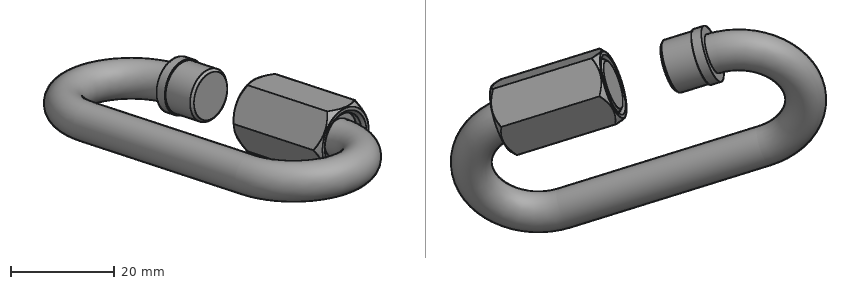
import cadquery as cq
import math

total_length = 76.0
rod_radius = 3.99
bend_radius = 13.0
straight_half_length = total_length / 2 - bend_radius - rod_radius

thread_radius = 5.4
thread_chamfer = 0.5
collar_radius = 5.7
collar_length = 2.1
collar_end_length = 9.0
stud_end_x = -0.15

nut_across_flats = 13.8
nut_start_x = stud_end_x
nut_length = 23.1
nut_face_radius = 6.8
countersink_radius = 6.1

thread_axis_y = bend_radius


def cylinder_along_x(radius, start_x, end_x):
    """Round bar on the thread axis."""
    return (
        cq.Workplane("YZ", origin=(start_x, thread_axis_y, 0))
        .circle(radius)
        .extrude(end_x - start_x)
    )


def cone_along_x(start_radius, end_radius, start_x, end_x):
    """Truncated cone on the thread axis."""
    return (
        cq.Workplane("XY", origin=(0, thread_axis_y, 0))
        .polyline([(start_x, 0), (start_x, start_radius), (end_x, end_radius), (end_x, 0)])
        .close()
        .revolve(360, (0, 0, 0), (1, 0, 0))
    )


def make_rod():
    """Long straight side with a half-circle bend at each end."""
    path = (
        cq.Workplane("XY")
        .moveTo(-straight_half_length, bend_radius)
        .threePointArc(
            (-straight_half_length - bend_radius, 0),
            (-straight_half_length, -bend_radius),
        )
        .lineTo(straight_half_length, -bend_radius)
        .threePointArc(
            (straight_half_length + bend_radius, 0),
            (straight_half_length, bend_radius),
        )
    )
    return (
        cq.Workplane("YZ", origin=(-straight_half_length, bend_radius, 0))
        .circle(rod_radius)
        .sweep(path)
    )


def make_link():
    """Rod with a collared short thread at one end and a long stud at the other."""
    bend_end_x = straight_half_length
    collar_start_x = -straight_half_length
    collar = cylinder_along_x(collar_radius, collar_start_x, collar_start_x + collar_length)
    short_thread = cylinder_along_x(
        thread_radius, collar_start_x, collar_start_x + collar_end_length
    ).faces(">X").chamfer(thread_chamfer)
    stud = cylinder_along_x(thread_radius, stud_end_x, bend_end_x).faces("<X").chamfer(thread_chamfer)
    return make_rod().union(collar).union(short_thread).union(stud)


def make_nut():
    """Hexagonal sleeve, chamfered outside and countersunk inside at both ends."""
    nut_end_x = nut_start_x + nut_length
    corner_radius = nut_across_flats / math.sqrt(3)
    corner_chamfer = corner_radius - nut_face_radius
    countersink_depth = countersink_radius - thread_radius

    nut = (
        cq.Workplane("YZ", origin=(nut_start_x, thread_axis_y, 0))
        .polygon(6, 2 * corner_radius)
        .extrude(nut_length)
    )
    trimming_bar = (
        cylinder_along_x(corner_radius, nut_start_x, nut_end_x).faces("<X or >X").chamfer(corner_chamfer)
    )
    nut = nut.intersect(trimming_bar)
    nut = nut.cut(cylinder_along_x(thread_radius, nut_start_x, nut_end_x))
    nut = nut.cut(
        cone_along_x(countersink_radius, thread_radius, nut_start_x, nut_start_x + countersink_depth)
    )
    return nut.cut(
        cone_along_x(thread_radius, countersink_radius, nut_end_x - countersink_depth, nut_end_x)
    )


link = make_link()
nut = make_nut()
result = cq.Compound.makeCompound([link.val(), nut.val()])